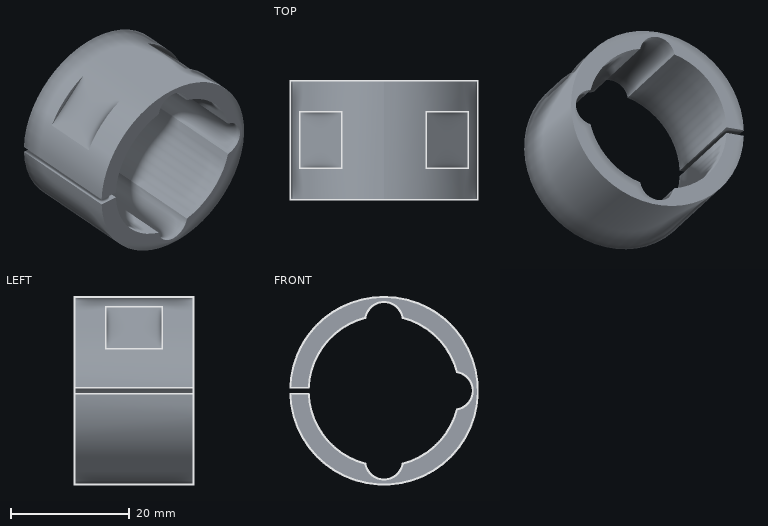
import cadquery as cq
import math

outer_radius = 31.75 / 2
bore_radius = 12.7
ring_length = 20.14

groove_radius = 3.175
groove_center_radius = 11.8
groove_angles = (0, 90, 180)

slit_width = 1.0

pocket_length = 9.525
pocket_width = 10.04
pocket_angles = (45, 135)
pocket_floor_radius = math.sqrt(outer_radius**2 - (pocket_width / 2) ** 2)
cutter_clearance = 1.0
pocket_cutter_height = outer_radius - pocket_floor_radius + cutter_clearance


def turn_about_ring_axis(body, angle):
    """Turn a body about the Y axis, from +X towards +Z (and from -Z towards +X)."""
    return body.rotate((0, 0, 0), (0, 1, 0), -angle)


def cylinder_along_y(radius):
    """Ring-length cylinder on the Y axis, centred on the origin, with its seam at +Z."""
    start_plane = cq.Workplane("XZ", origin=(0, ring_length / 2, 0))
    return turn_about_ring_axis(start_plane.circle(radius).extrude(ring_length), 90)


def groove(angle):
    """Round cutter for one bore groove."""
    cutter = cylinder_along_y(groove_radius).translate((0, 0, -groove_center_radius))
    return turn_about_ring_axis(cutter, angle)


def slit():
    """Box that opens the wall from the bore out through the -X side."""
    cutter = cq.Workplane("XY").box(2 * outer_radius, ring_length, slit_width)
    return cutter.translate((-outer_radius, 0, 0))


def pocket(angle):
    """Box whose inner face is the pocket floor, a chord of the outer circle."""
    cutter = cq.Workplane("XY").box(
        pocket_cutter_height, pocket_length, pocket_width, centered=(False, True, True)
    )
    cutter = cutter.translate((pocket_floor_radius, 0, 0))
    return turn_about_ring_axis(cutter, angle)


result = cylinder_along_y(outer_radius).cut(cylinder_along_y(bore_radius))
for groove_angle in groove_angles:
    result = result.cut(groove(groove_angle))
result = result.cut(slit())
for pocket_angle in pocket_angles:
    result = result.cut(pocket(pocket_angle))